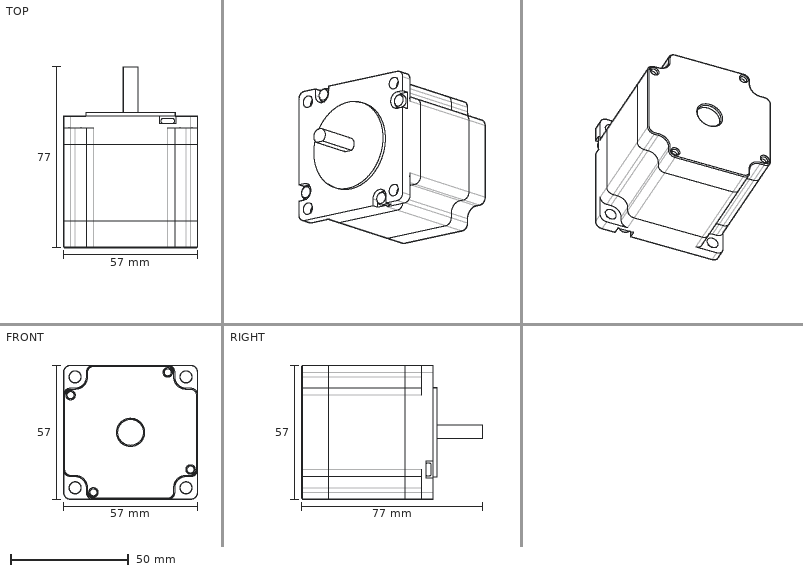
import cadquery as cq
import math


frame_width = 57.0
body_length = 56.0
front_cap_length = 12.0
rear_cap_length = 11.5
flange_thickness = 5.0
stator_length = body_length - front_cap_length - rear_cap_length
half_width = frame_width / 2

flange_corner_radius = 3.0
mount_hole_spacing = 47.14
mount_hole_diameter = 5.0
pilot_diameter = 38.0
pilot_height = 1.6
shaft_diameter = 6.35
shaft_reach = 21.0
shaft_flat_height = 5.8

mount_hole_offset = mount_hole_spacing / 2
notch_depth = 9.7
notch_shoulder_radius = 3.0
notch_root_radius = notch_depth - (half_width - mount_hole_offset)

rear_edge_chamfer = 0.5
rear_recess_diameter = 11.0
rear_recess_depth = 2.0
rear_recess_chamfer = 0.5

screw_long_offset = half_width - notch_shoulder_radius
screw_short_offset = half_width - notch_depth - notch_shoulder_radius
screw_shank_diameter = 3.0
screw_tip_recess = 2.0
screw_hole_chamfer = 0.5
screw_head_height = 2.1
screw_head_end_radius = 2.4
screw_head_waist_radius = 2.85
screw_pocket_width = 7.2
screw_pocket_depth = 3.1
screw_count = 4

front_seam_y = -front_cap_length
rear_seam_y = front_seam_y - stator_length
rear_face_y = -body_length


def section_plane(y):
    """Plane across the motor axis with local X = X, local Y = Z and its normal toward -Y."""
    return cq.Workplane("XZ", origin=(0, y, 0))


def cylinder(y_start, length, diameter, x=0, z=0):
    """Cylinder that runs from y_start toward -Y."""
    return section_plane(y_start).center(x, z).circle(diameter / 2).extrude(length)


def turned_quarters(shape):
    """The shape in each of its four quarter-turn places about the motor axis."""
    step = 360 / screw_count
    return [shape.rotate((0, 0, 0), (0, 1, 0), index * step) for index in range(screw_count)]


def notched_block(y_start, length):
    """Square block with a rounded notch along each corner."""
    wall = half_width - notch_depth
    shoulder = wall - notch_shoulder_radius
    shoulder_side = half_width - notch_shoulder_radius
    diagonal = math.sqrt(0.5)
    shoulder_bulge = notch_shoulder_radius * diagonal
    root_end = wall + notch_root_radius
    root_middle = mount_hole_offset - notch_root_radius * diagonal

    notch = (
        section_plane(y_start)
        .moveTo(shoulder, half_width)
        .threePointArc(
            (shoulder + shoulder_bulge, shoulder_side + shoulder_bulge),
            (wall, shoulder_side),
        )
        .lineTo(wall, root_end)
        .threePointArc((root_middle, root_middle), (root_end, wall))
        .lineTo(shoulder_side, wall)
        .threePointArc(
            (shoulder_side + shoulder_bulge, shoulder + shoulder_bulge),
            (half_width, shoulder),
        )
        .lineTo(half_width, half_width)
        .close()
        .extrude(length)
    )
    block = section_plane(y_start).rect(frame_width, frame_width).extrude(length)
    for corner_notch in turned_quarters(notch):
        block = block.cut(corner_notch)
    return block


def build_screw():
    """Long screw with a barrel-shaped head, at the +Z side."""
    floor_y = -screw_pocket_depth
    tip_y = rear_face_y + screw_tip_recess
    shank = cylinder(floor_y, floor_y - tip_y, screw_shank_diameter)
    head = (
        cq.Workplane("XY")
        .moveTo(0, floor_y)
        .lineTo(screw_head_end_radius, floor_y)
        .threePointArc(
            (screw_head_waist_radius, floor_y + screw_head_height / 2),
            (screw_head_end_radius, floor_y + screw_head_height),
        )
        .lineTo(0, floor_y + screw_head_height)
        .close()
        .revolve(360, (0, 0, 0), (0, 1, 0))
    )
    return shank.union(head).translate((screw_short_offset, 0, screw_long_offset))


def cut_screw_holes(body):
    """Clearance for all four screw shanks along the whole motor."""
    hole = cylinder(0, body_length, screw_shank_diameter, screw_short_offset, screw_long_offset)
    for turned_hole in turned_quarters(hole):
        body = body.cut(turned_hole)
    return body


def build_screw_pocket():
    """U-shaped pocket around a screw head, open at the mounting face and at the side of the flange."""
    edge_gap = notch_shoulder_radius
    round_end = cylinder(0, screw_pocket_depth, screw_pocket_width, screw_short_offset, screw_long_offset)
    side_opening = (
        section_plane(0)
        .center(screw_short_offset, screw_long_offset + edge_gap / 2)
        .rect(screw_pocket_width, edge_gap)
        .extrude(screw_pocket_depth)
    )
    return round_end.union(side_opening)


def build_shaft():
    """Round shaft with a flat facing -Z along its whole visible length."""
    length = shaft_reach - pilot_height
    flat_z = shaft_diameter / 2 - shaft_flat_height
    shaft = cylinder(shaft_reach, length, shaft_diameter)
    keep = (
        section_plane(shaft_reach)
        .center(0, flat_z + shaft_diameter / 2)
        .rect(shaft_diameter, shaft_diameter)
        .extrude(length)
    )
    return shaft.intersect(keep)


def build_front_cap():
    """Mounting flange, pilot boss, shaft and the notched block behind the flange."""
    flange = (
        section_plane(0)
        .rect(frame_width, frame_width)
        .extrude(flange_thickness)
        .edges("|Y")
        .fillet(flange_corner_radius)
    )
    block = notched_block(-flange_thickness, front_cap_length - flange_thickness)
    pilot = cylinder(pilot_height, pilot_height, pilot_diameter)
    mount_holes = (
        section_plane(0)
        .rect(mount_hole_spacing, mount_hole_spacing, forConstruction=True)
        .vertices()
        .circle(mount_hole_diameter / 2)
        .extrude(flange_thickness)
    )
    cap = flange.union(block).cut(mount_holes)
    for pocket in turned_quarters(build_screw_pocket()):
        cap = cap.cut(pocket)
    return cut_screw_holes(cap.union(pilot).union(build_shaft()))


def build_stator():
    """Plain notched block between the two caps."""
    return cut_screw_holes(notched_block(front_seam_y, stator_length))


def countersink(diameter, chamfer):
    """Cone on the rear face that widens a hole of the given diameter."""
    return (
        section_plane(rear_face_y + chamfer)
        .circle(diameter / 2)
        .workplane(offset=chamfer)
        .circle(diameter / 2 + chamfer)
        .loft()
    )


def build_rear_cap():
    """Notched end block with a chamfered rear edge, a centre recess and countersunk screw holes."""
    cap = notched_block(rear_seam_y, rear_cap_length).faces("<Y").edges().chamfer(rear_edge_chamfer)
    recess = cylinder(rear_face_y + rear_recess_depth, rear_recess_depth, rear_recess_diameter)
    cap = cut_screw_holes(cap).cut(recess).cut(countersink(rear_recess_diameter, rear_recess_chamfer))
    hole_mouth = countersink(screw_shank_diameter, screw_hole_chamfer)
    hole_mouth = hole_mouth.translate((screw_short_offset, 0, screw_long_offset))
    for turned_mouth in turned_quarters(hole_mouth):
        cap = cap.cut(turned_mouth)
    return cap


front_cap = build_front_cap()
stator = build_stator()
rear_cap = build_rear_cap()
screws = turned_quarters(build_screw())

result = cq.Compound.makeCompound(
    [
        front_cap.val(),
        stator.val(),
        rear_cap.val(),
        *[screw.val() for screw in screws],
    ]
)